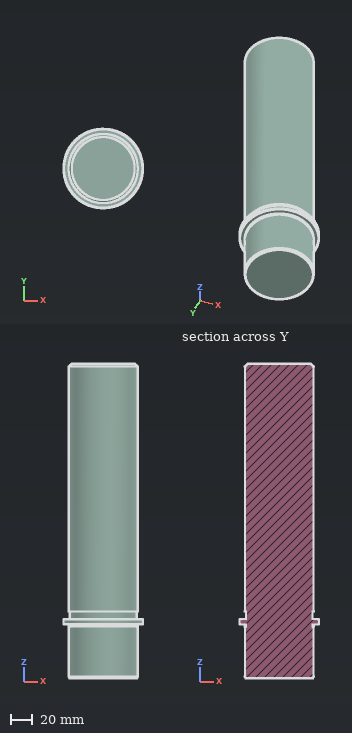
import cadquery as cq

total_length = 289.0
body_radius = 31.8
flange_radius = 36.55
neck_radius = 31.0

flange_bottom = 49.5
flange_thickness = 5.2
neck_length = 6.6
undercut_length = 1.7
flange_top = flange_bottom + flange_thickness
neck_top = flange_top + neck_length

top_chamfer = 3.0
flange_chamfer = 0.5
bottom_chamfer_width = 1.0
bottom_chamfer_height = 1.7

half_section = (
    cq.Workplane("XZ")
    .moveTo(0, 0)
    .lineTo(body_radius - bottom_chamfer_width, 0)
    .lineTo(body_radius, bottom_chamfer_height)
    .lineTo(body_radius, flange_bottom - undercut_length)
    .lineTo(neck_radius, flange_bottom - undercut_length)
    .lineTo(neck_radius, flange_bottom)
    .lineTo(flange_radius - flange_chamfer, flange_bottom)
    .lineTo(flange_radius, flange_bottom + flange_chamfer)
    .lineTo(flange_radius, flange_top - flange_chamfer)
    .lineTo(flange_radius - flange_chamfer, flange_top)
    .lineTo(neck_radius, flange_top)
    .lineTo(neck_radius, neck_top)
    .lineTo(body_radius, neck_top)
    .lineTo(body_radius, total_length - top_chamfer)
    .lineTo(body_radius - top_chamfer, total_length)
    .lineTo(0, total_length)
    .close()
)

result = half_section.revolve(360, (0, 0, 0), (0, 1, 0))